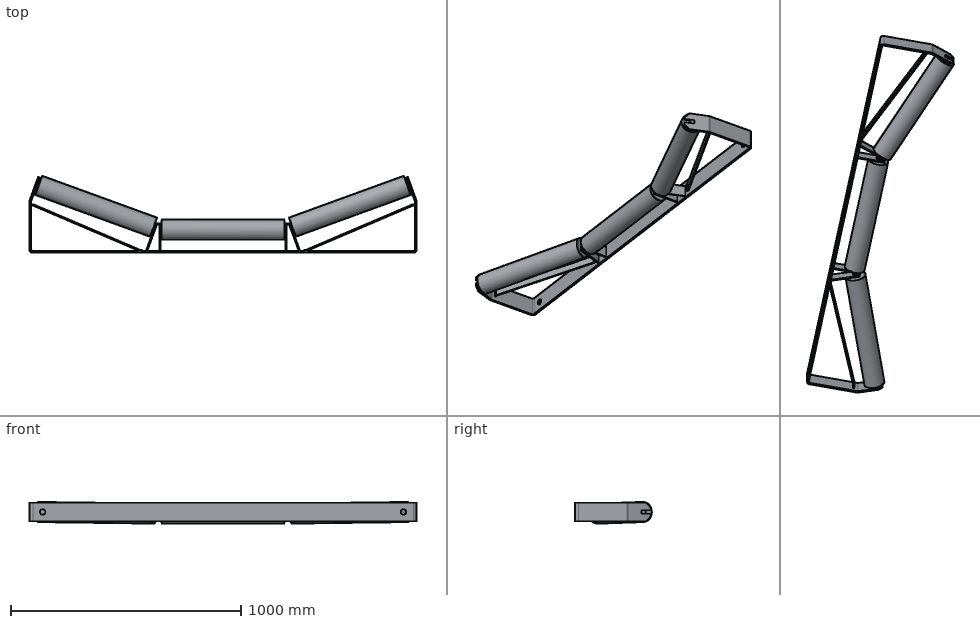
import cadquery as cq
import math

FRAME_LENGTH = 1680.0
FRAME_WIDTH = 80.0
FRAME_PLATE = 8.0
CORNER_RADIUS = 13.0
ARM_BEND_Y = 227.0
ARM_BEND_RADIUS = 12.6
ARM_TIP_LENGTH = 110.0
ARM_TIP_CHAMFER = 18.0
TROUGH_ANGLE = 20.0

HOLE_DIAMETER = 24.0
HOLE_SPACING = 1565.0

STRUT_THICKNESS = 6.0
STRUT_WIDTH = 34.0
STRUT_TOP_Y = 210.0
STRUT_FLANGE = 10.0
STRUT_FOOT_X = 353.0

BRACKET_PLATE = 6.0
BRACKET_WIDTH = 50.0
BRACKET_TOP_Y = 128.0
BRACKET_SLANT_X = 338.0
BRACKET_STRAIGHT_X = 270.0

ROLLER_DIAMETER = 89.0
ROLLER_DROP = 7.0
END_TAPER_LENGTH = 7.0
END_TAPER_DEPTH = 0.8
INNER_CLEARANCE = 3.0
ARM_CLEARANCE = 7.0
SHAFT_DIAMETER = 20.0
SHAFT_FLATS = 17.0
SIDE_AXIS_ON_ARM = 75.0
MIDDLE_AXIS_Y = 100.0
SLOT_OPENING = 50.0
SLOT_OVERCUT = 2.0

half_length = FRAME_LENGTH / 2
frame_mid_z = FRAME_WIDTH / 2
low_z = frame_mid_z - ROLLER_DROP
sin_trough = math.sin(math.radians(TROUGH_ANGLE))
cos_trough = math.cos(math.radians(TROUGH_ANGLE))
slope = sin_trough / cos_trough


def point_on_arm(distance):
    """Point on the outer face of the left arm, measured from its bend towards its tip."""
    return (-half_length + distance * sin_trough, ARM_BEND_Y + distance * cos_trough)


axis_x, axis_y = point_on_arm(SIDE_AXIS_ON_ARM)
side_span = (axis_y * slope - BRACKET_SLANT_X - axis_x) * cos_trough
sin_drop = ROLLER_DROP / side_span
cos_drop = math.sqrt(1 - sin_drop**2)
up_arm = (sin_trough, cos_trough, 0)
arm_plane = cq.Plane((axis_x, axis_y, frame_mid_z), up_arm, (cos_trough, -sin_trough, 0))
side_axis = cq.Plane(
    (axis_x, axis_y, frame_mid_z),
    up_arm,
    (cos_trough * cos_drop, -sin_trough * cos_drop, -sin_drop),
)
side_shaft_length = side_span + BRACKET_PLATE

middle_shaft_length = 2 * (BRACKET_STRAIGHT_X + BRACKET_PLATE)
middle_axis = cq.Plane((-middle_shaft_length / 2, MIDDLE_AXIS_Y, low_z), (0, 1, 0), (1, 0, 0))


def mirrored(body):
    return body.mirror("YZ")


def placed(body, plane):
    return cq.Workplane("XY").newObject([body.val().moved(cq.Location(plane))])


def bent_plate(points, thickness, width, mid_z):
    """Plate with sharp bends along `points`; its thickness lies to the left of that path."""
    directions = [(cq.Vector(*b) - cq.Vector(*a)).normalized() for a, b in zip(points, points[1:])]
    normals = [cq.Vector(-d.y, d.x) for d in directions]
    offset_points = []
    for (x, y), before, after in zip(points, normals[:1] + normals, normals + normals[-1:]):
        mitre = (before + after) * (thickness / (1 + before.dot(after)))
        offset_points.append((x + mitre.x, y + mitre.y))
    outline = points + offset_points[::-1]
    return cq.Workplane("XY").workplane(offset=mid_z - width / 2).polyline(outline).close().extrude(width)


def round_bend(body, x, y, radius):
    edge = cq.selectors.NearestToPointSelector((x, y, frame_mid_z))
    return body.edges("|Z").edges(edge).fillet(radius)



def main_plate():
    left = [point_on_arm(ARM_TIP_LENGTH), (-half_length, ARM_BEND_Y), (-half_length, 0)]
    right = [(-x, y) for x, y in reversed(left)]
    plate = bent_plate(left + right, FRAME_PLATE, FRAME_WIDTH, frame_mid_z)
    for side in (-1, 1):
        inner_x = side * (half_length - FRAME_PLATE)
        plate = round_bend(plate, side * half_length, 0, CORNER_RADIUS)
        plate = round_bend(plate, inner_x, FRAME_PLATE, CORNER_RADIUS - FRAME_PLATE)
        plate = round_bend(plate, side * half_length, ARM_BEND_Y, ARM_BEND_RADIUS)
        plate = round_bend(plate, inner_x, ARM_BEND_Y, ARM_BEND_RADIUS - FRAME_PLATE)
    return plate


def tip_corners():
    """The two corners cut off the tip of the left arm."""
    tip = ARM_TIP_LENGTH - SIDE_AXIS_ON_ARM
    corners = cq.Workplane(arm_plane)
    for edge in (-FRAME_WIDTH / 2, FRAME_WIDTH / 2):
        inset_edge = edge - math.copysign(ARM_TIP_CHAMFER, edge)
        corners = corners.polyline([(tip, edge), (tip - ARM_TIP_CHAMFER, edge), (tip, inset_edge)]).close()
    return corners.extrude(FRAME_PLATE)


def mounting_holes():
    return (
        cq.Workplane("XZ")
        .pushPoints([(-HOLE_SPACING / 2, frame_mid_z), (HOLE_SPACING / 2, frame_mid_z)])
        .circle(HOLE_DIAMETER / 2)
        .extrude(-FRAME_PLATE)
    )


def strut():
    foot_y = FRAME_PLATE + STRUT_THICKNESS
    arm_x = -half_length + FRAME_PLATE
    path = [
        (-STRUT_FOOT_X, foot_y),
        (-STRUT_FOOT_X - STRUT_FLANGE, foot_y),
        (arm_x + STRUT_FLANGE, STRUT_TOP_Y),
        (arm_x, STRUT_TOP_Y),
    ]
    return bent_plate(path, STRUT_THICKNESS, STRUT_WIDTH, frame_mid_z)


def bracket():
    path = [
        (-BRACKET_STRAIGHT_X, FRAME_PLATE),
        (-BRACKET_STRAIGHT_X, BRACKET_TOP_Y),
        (-BRACKET_SLANT_X + BRACKET_TOP_Y * slope, BRACKET_TOP_Y),
        (-BRACKET_SLANT_X + FRAME_PLATE * slope, FRAME_PLATE),
    ]
    return bent_plate(path, BRACKET_PLATE, BRACKET_WIDTH, low_z)



def shaft(start, end):
    length = end - start
    base = cq.Workplane("XY").workplane(offset=start)
    flats = base.rect(SHAFT_DIAMETER, SHAFT_FLATS).extrude(length)
    return base.circle(SHAFT_DIAMETER / 2).extrude(length).intersect(flats)


def shaft_slot(start, end):
    opening = (
        cq.Workplane("XY")
        .workplane(offset=start)
        .center(SLOT_OPENING / 2, 0)
        .rect(SLOT_OPENING, SHAFT_FLATS)
        .extrude(end - start)
    )
    return shaft(start, end).union(opening)


def roller(shaft_length, barrel_start, barrel_end):
    barrel = (
        cq.Workplane("XY")
        .workplane(offset=barrel_start)
        .circle(ROLLER_DIAMETER / 2)
        .extrude(barrel_end - barrel_start)
    )
    barrel = barrel.faces("<Z").chamfer(END_TAPER_DEPTH, END_TAPER_LENGTH)
    barrel = barrel.faces(">Z").chamfer(END_TAPER_DEPTH, END_TAPER_LENGTH)
    return shaft(0, shaft_length).union(barrel)



def frame():
    body = main_plate().cut(mounting_holes())
    for added in (strut(), bracket()):
        body = body.union(added).union(mirrored(added))
    arm_slot = shaft_slot(-SLOT_OVERCUT, FRAME_PLATE + SLOT_OVERCUT)
    slant_leg_slot = shaft_slot(side_span - SLOT_OVERCUT, side_shaft_length + SLOT_OVERCUT)
    straight_leg_slot = shaft_slot(0, BRACKET_PLATE)
    removed = [
        tip_corners(),
        placed(arm_slot, side_axis),
        placed(slant_leg_slot, side_axis),
        placed(straight_leg_slot, middle_axis),
    ]
    for cutter in removed:
        body = body.cut(cutter).cut(mirrored(cutter))
    return body


def side_roller():
    body = roller(side_shaft_length, FRAME_PLATE + ARM_CLEARANCE, side_span - INNER_CLEARANCE)
    return placed(body, side_axis)


def middle_roller():
    barrel_start = BRACKET_PLATE + INNER_CLEARANCE
    body = roller(middle_shaft_length, barrel_start, middle_shaft_length - barrel_start)
    return placed(body, middle_axis)


trough_frame = frame()
left_roller = side_roller()
right_roller = mirrored(left_roller)
center_roller = middle_roller()

result = cq.Compound.makeCompound(
    [trough_frame.val(), left_roller.val(), right_roller.val(), center_roller.val()]
)